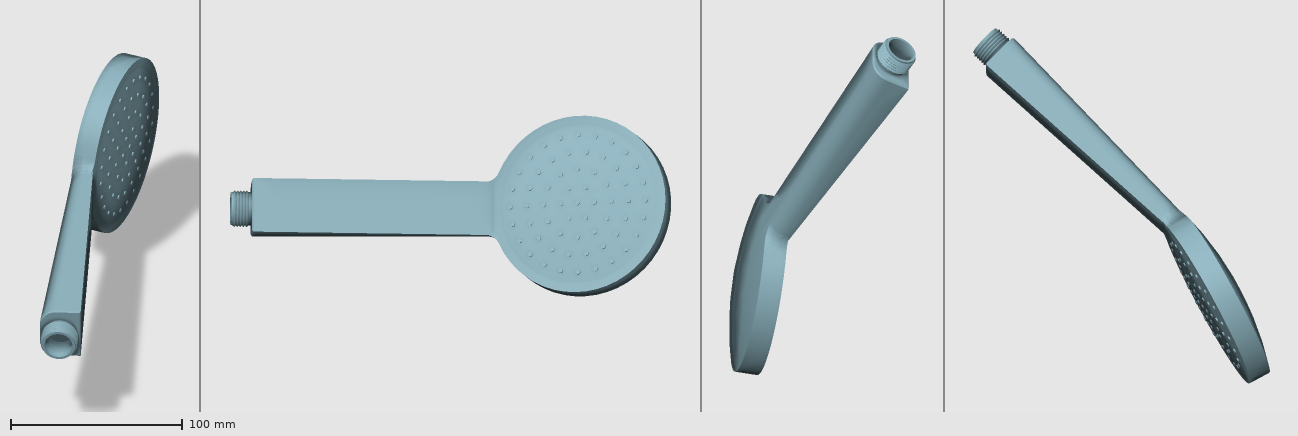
import cadquery as cq
import math


head_diameter = 105.0
head_radius = head_diameter / 2
rim_back_x = 7.7
rim_front_x = 21.0
neck_fillet = 9.0
neck_end_y = -71.5
joint_margin = 0.3

face_radius = 47.0
face_rise = 2.3
nozzle_diameter = 2.5
nozzle_height = 0.8
nozzle_root = 1.3
nozzle_ring_pitch = 10.2
nozzle_ring_count = 4
nozzles_per_ring_step = 6

handle_width = 32.0
back_flat_width = 11.8
back_corner_radius = (handle_width - back_flat_width) / 2
axis_tilt = 17.5
back_tilt = 14.5
front_tilt = 18.9
end_center = (55.2, -188.7)
end_thickness = 24.0
end_chamfer = 0.8
handle_root_y = -46.0

thread_radius = 10.7
thread_root_radius = 9.7
thread_relief = 1.8
thread_pitch = 1.8
thread_count = 5
tip_length = 1.3
connector_length = thread_relief + thread_count * thread_pitch + tip_length
bore_radius = 8.2
bore_depth = 14.8
connector_root = 1.3


def dome_radius(chord_radius, rise):
    """Sphere radius of a cap with the given base radius and rise."""
    return (chord_radius**2 + rise**2) / (2 * rise)


def handle_end_point(side):
    """Corner of the handle end on the back (side = -1) or the front (side = +1)."""
    tilt = math.radians(axis_tilt)
    reach = side * end_thickness / 2
    return (end_center[0] + reach * math.cos(tilt), end_center[1] + reach * math.sin(tilt))


def point_up_from(end, tilt_degrees, y):
    """Point at the given y on the line leaving a handle end corner at the given tilt."""
    run = (y - end[1]) * math.tan(math.radians(tilt_degrees))
    return (end[0] - run, y)


def make_bar(corners):
    """Side profile (back edge first) given the handle width and rounded back corners."""
    bar = cq.Workplane("XY").polyline(corners).close().extrude(handle_width / 2, both=True)
    (x_start, y_start), (x_end, y_end) = corners[:2]
    back_middle = ((x_start + x_end) / 2, (y_start + y_end) / 2, 0)
    back_face = cq.selectors.NearestToPointSelector(back_middle)
    return bar.faces(back_face).edges("not |Z").fillet(back_corner_radius)


def make_handle():
    """Tapered bar with a flat front, straight sides and rounded back corners."""
    back_end = handle_end_point(-1)
    front_end = handle_end_point(1)
    back_root = point_up_from(back_end, back_tilt, handle_root_y)
    front_root = point_up_from(front_end, front_tilt, handle_root_y)
    bar = make_bar([back_root, back_end, front_end, front_root])
    end_face = cq.selectors.NearestToPointSelector((*end_center, 0))
    return bar.faces(end_face).chamfer(end_chamfer)


def make_head():
    """Rim disc blended into the handle sides, closed at the back by a spherical dome."""
    overlong = 2 * head_radius
    rim_plane = cq.Workplane("YZ", origin=(rim_front_x, 0, 0))
    column = rim_plane.circle(head_radius).extrude(-overlong)
    back_end = handle_end_point(-1)
    back_root = point_up_from(back_end, back_tilt, -head_radius / 2)
    back_tip = point_up_from(back_end, back_tilt, neck_end_y)
    front_tip = (rim_front_x, back_tip[1])
    front_root = (rim_front_x, back_root[1])
    neck = make_bar([back_root, back_tip, front_tip, front_root])
    side_joint_y = -math.sqrt(head_radius**2 - (handle_width / 2) ** 2)
    joint = cq.selectors.BoxSelector(
        (-overlong, -head_radius - joint_margin, -handle_width),
        (rim_front_x - joint_margin, side_joint_y + joint_margin, handle_width),
    )
    blended = column.union(neck).edges(joint).fillet(neck_fillet)
    back_radius = dome_radius(head_radius, rim_back_x)
    back_sphere = cq.Workplane("XY").sphere(back_radius).translate((back_radius, 0, 0))
    return blended.intersect(back_sphere)


def make_spray_face():
    """Shallow crowned face with concentric rings of nozzle nubs."""
    crown_radius = dome_radius(face_radius, face_rise)
    crown_center_x = rim_front_x + face_rise - crown_radius
    face = (
        cq.Workplane("XY")
        .moveTo(rim_back_x, 0)
        .lineTo(rim_front_x + face_rise, 0)
        .radiusArc((rim_front_x, face_radius), -crown_radius)
        .lineTo(rim_back_x, face_radius)
        .close()
        .revolve(360, (0, 0, 0), (1, 0, 0))
    )
    for ring in range(nozzle_ring_count + 1):
        ring_radius = ring * nozzle_ring_pitch
        surface_x = crown_center_x + math.sqrt(crown_radius**2 - ring_radius**2)
        nozzles = cq.Workplane("YZ", origin=(surface_x - nozzle_root, 0, 0))
        if ring > 0:
            nozzles = nozzles.polarArray(ring_radius, 0, 360, ring * nozzles_per_ring_step)
        nozzles = nozzles.circle(nozzle_diameter / 2).extrude(nozzle_root + nozzle_height)
        face = face.union(nozzles)
    return face


def on_handle_axis(profile):
    """Revolve a half profile of (radius, axial position) points about the handle axis."""
    body = cq.Workplane("XY").polyline(profile).close().revolve(360, (0, 0, 0), (0, 1, 0))
    return body.rotate((0, 0, 0), (0, 0, 1), 180 + axis_tilt).translate((*end_center, 0))


def make_connector():
    """Ring-grooved male connector."""
    profile = [(0, -connector_root), (thread_root_radius, -connector_root)]
    for turn in range(thread_count):
        groove = thread_relief + turn * thread_pitch
        profile.append((thread_root_radius, groove))
        profile.append((thread_radius, groove + thread_pitch / 2))
    profile.append((thread_root_radius, connector_length - tip_length))
    profile.append((thread_root_radius, connector_length))
    profile.append((0, connector_length))
    return on_handle_axis(profile)


def make_bore():
    """Blind hole entering from the connector tip."""
    floor = connector_length - bore_depth
    profile = [
        (0, floor),
        (bore_radius, floor),
        (bore_radius, connector_length),
        (0, connector_length),
    ]
    return on_handle_axis(profile)


result = (
    make_head()
    .union(make_spray_face())
    .union(make_handle())
    .union(make_connector())
    .cut(make_bore())
)